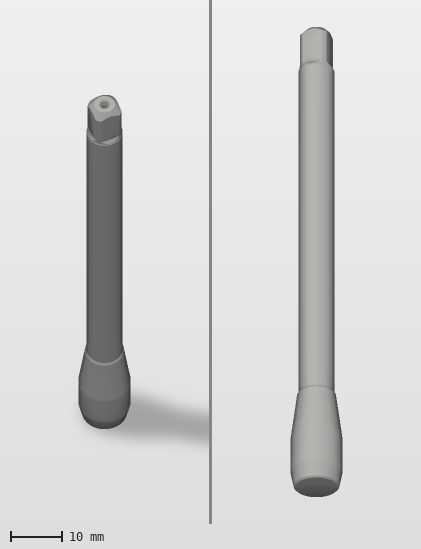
import cadquery as cq

total_length = 100.0

shaft_diameter = 7.0
drive_corner_diameter = 6.7
drive_across_flats = 5.5
drive_tip_diameter = 4.0
flat_bottom_z = 92.0
drive_shoulder_z = 91.4
shoulder_chamfer_height = 0.3
center_hole_diameter = 1.6
center_hole_depth = 0.5
countersink_diameter = 2.2

sleeve_diameter = 10.2
sleeve_bottom_diameter = 8.9
sleeve_neck_diameter = 7.6
sleeve_height = 20.6
neck_edge_height = 0.5
taper_start_z = 10.3
bottom_taper_height = 3.5
bottom_edge_chamfer = 0.3


def revolve_profile(points):
    """Turn a closed (radius, z) outline about the Z axis."""
    return cq.Workplane("XZ").polyline(points).close().revolve(360, (0, 0, 0), (0, 1, 0))


def make_flat_cutter():
    """Prism that mills the flat on the +X side and leaves a 45 degree ledge below it."""
    flat_x = drive_across_flats / 2
    outer_x = shaft_diameter
    ledge_drop = outer_x - flat_x
    return (
        cq.Workplane("XZ")
        .moveTo(flat_x, total_length)
        .lineTo(flat_x, flat_bottom_z)
        .lineTo(outer_x, flat_bottom_z - ledge_drop)
        .lineTo(outer_x, total_length)
        .close()
        .extrude(shaft_diameter, both=True)
    )


def make_center_hole():
    """Round hole in the tip with a 45 degree countersink and a 90 degree conical bottom."""
    radius = center_hole_diameter / 2
    rim_radius = countersink_diameter / 2
    cone_top_z = total_length - center_hole_depth
    return revolve_profile([
        (0, total_length),
        (rim_radius, total_length),
        (radius, total_length - (rim_radius - radius)),
        (radius, cone_top_z),
        (0, cone_top_z - radius),
    ])


def make_shaft():
    """Round shaft with a shouldered square drive and a 45 degree conical tip."""
    shaft_radius = shaft_diameter / 2
    corner_radius = drive_corner_diameter / 2
    tip_radius = drive_tip_diameter / 2
    tip_height = corner_radius - tip_radius
    shaft = revolve_profile([
        (0, 0),
        (shaft_radius, 0),
        (shaft_radius, drive_shoulder_z - shoulder_chamfer_height),
        (corner_radius, drive_shoulder_z),
        (corner_radius, total_length - tip_height),
        (tip_radius, total_length),
        (0, total_length),
    ])
    flat_cutter = make_flat_cutter()
    for angle in (0, 90, 180, 270):
        shaft = shaft.cut(flat_cutter.rotate((0, 0, 0), (0, 0, 1), angle))
    return shaft.cut(make_center_hole())


def make_sleeve():
    """Tapered sleeve whose bore fits the shaft."""
    bore_radius = shaft_diameter / 2
    sleeve_radius = sleeve_diameter / 2
    bottom_radius = sleeve_bottom_diameter / 2
    neck_radius = sleeve_neck_diameter / 2
    return revolve_profile([
        (bore_radius, 0),
        (bottom_radius - bottom_edge_chamfer, 0),
        (bottom_radius, bottom_edge_chamfer),
        (sleeve_radius, bottom_taper_height),
        (sleeve_radius, taper_start_z),
        (neck_radius, sleeve_height - neck_edge_height),
        (bore_radius, sleeve_height),
    ])


shaft = make_shaft()
sleeve = make_sleeve()

result = cq.Compound.makeCompound([shaft.val(), sleeve.val()])